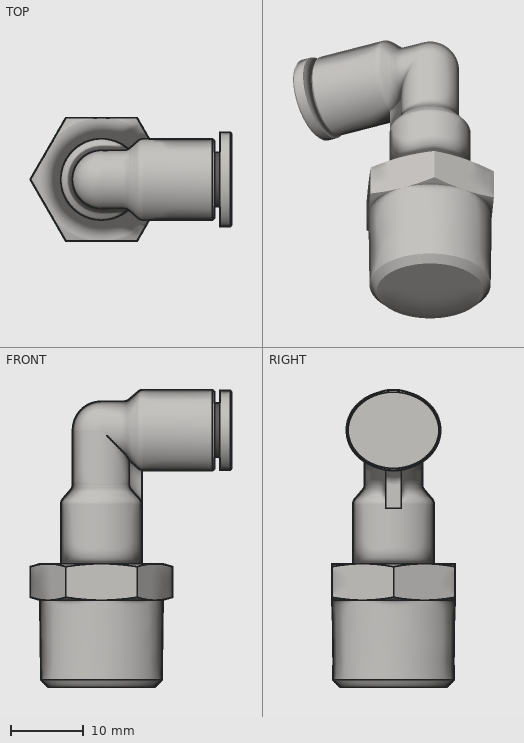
import cadquery as cq
import math

overall_height = 41.0
overall_length = 27.77
body_radius = 5.6
neck_radius = 4.0
elbow_z = overall_height - body_radius

thread_top_radius = 8.5
thread_bottom_radius = 8.35
thread_length = 12.0
thread_chamfer = 1.0

hex_across_flats = 17.0
hex_across_corners = hex_across_flats / math.cos(math.pi / 6)
hex_height = 5.0
hex_top_z = thread_length + hex_height
hex_chamfer_height = 0.4

shoulder_length = 1.85
shoulder_fillet = 1.0
vertical_neck_length = 7.9
outlet_neck_length = 3.5

outlet_body_end = 15.6
outlet_body_chamfer = 0.32
sleeve_radius = 3.75
ring_start = 16.3
ring_end = overall_length - hex_across_corners / 2
ring_half_width = 6.5
ring_half_height = 5.5
ring_chamfer = 0.25
ring_root_fillet = 0.1

rib_thickness = 2.2


def make_thread():
    """Tapered thread blank with a chamfered free end."""
    return (
        cq.Workplane("XZ")
        .lineTo(thread_bottom_radius - thread_chamfer, 0)
        .lineTo(thread_bottom_radius, thread_chamfer)
        .lineTo(thread_top_radius, thread_length)
        .lineTo(0, thread_length)
        .close()
        .revolve(360, (0, 0), (0, 1))
    )


def make_hexagon():
    """Hexagon with two corners on the X axis and conical chamfers on both faces."""
    prism = (
        cq.Workplane("XY", origin=(0, 0, thread_length))
        .polygon(6, hex_across_corners)
        .extrude(hex_height)
    )
    face_radius = hex_across_flats / 2
    corner_radius = hex_across_corners / 2
    chamfer_envelope = (
        cq.Workplane("XZ")
        .moveTo(0, thread_length)
        .lineTo(face_radius, thread_length)
        .lineTo(corner_radius, thread_length + hex_chamfer_height)
        .lineTo(corner_radius, hex_top_z - hex_chamfer_height)
        .lineTo(face_radius, hex_top_z)
        .lineTo(0, hex_top_z)
        .close()
        .revolve(360, (0, 0), (0, 1))
    )
    return prism.intersect(chamfer_envelope)


def make_arm(neck_length, arm_length):
    """Arm running up Z from the elbow centre: neck, rounded shoulder, body."""
    shoulder_end = neck_length + shoulder_length
    arm = (
        cq.Workplane("XZ")
        .lineTo(neck_radius, 0)
        .lineTo(neck_radius, neck_length)
        .lineTo(body_radius, shoulder_end)
        .lineTo(body_radius, arm_length)
        .lineTo(0, arm_length)
        .close()
        .revolve(360, (0, 0), (0, 1))
    )
    shoulder_edges = cq.selectors.BoxSelector(
        (-2 * body_radius, -2 * body_radius, neck_length / 2),
        (2 * body_radius, 2 * body_radius, (shoulder_end + arm_length) / 2),
    )
    return arm.edges("%CIRCLE").edges(shoulder_edges).fillet(shoulder_fillet)


def make_vertical_arm():
    """Arm hanging from the elbow down to the hexagon."""
    arm = make_arm(vertical_neck_length, elbow_z - hex_top_z)
    return arm.rotate((0, 0, 0), (1, 0, 0), 180).translate((0, 0, elbow_z))


def make_outlet_arm():
    """Arm along +X with a chamfered end."""
    arm = make_arm(outlet_neck_length, outlet_body_end)
    arm = arm.faces(">Z").edges().chamfer(outlet_body_chamfer)
    return arm.rotate((0, 0, 0), (0, 1, 0), 90).translate((0, 0, elbow_z))


def make_release_ring():
    """Elliptical release ring carried on a round sleeve."""
    sleeve = (
        cq.Workplane("YZ", origin=(outlet_body_end, 0, elbow_z))
        .circle(sleeve_radius)
        .extrude(ring_start - outlet_body_end)
    )
    ring = (
        cq.Workplane("YZ", origin=(ring_start, 0, elbow_z))
        .ellipse(ring_half_width, ring_half_height)
        .extrude(ring_end - ring_start)
        .faces(">X")
        .chamfer(ring_chamfer)
    )
    ring_root = cq.selectors.BoxSelector(
        (ring_start - ring_root_fillet, -sleeve_radius, elbow_z - sleeve_radius),
        (ring_start + ring_root_fillet, sleeve_radius, elbow_z + sleeve_radius),
    )
    return sleeve.union(ring).edges("%CIRCLE").edges(ring_root).fillet(ring_root_fillet)


def make_rib():
    """Flat rib in the inside corner of the elbow, flush with the vertical body."""
    rib_bottom_z = elbow_z - vertical_neck_length - shoulder_length - shoulder_fillet
    return (
        cq.Workplane("XY", origin=(0, 0, rib_bottom_z))
        .rect(body_radius, rib_thickness)
        .extrude(elbow_z - rib_bottom_z)
        .translate((body_radius / 2, 0, 0))
    )


elbow_ball = cq.Workplane("XY", origin=(0, 0, elbow_z)).sphere(neck_radius)

result = (
    make_thread()
    .union(make_hexagon())
    .union(make_vertical_arm())
    .union(elbow_ball)
    .union(make_outlet_arm())
    .union(make_release_ring())
    .union(make_rib())
)